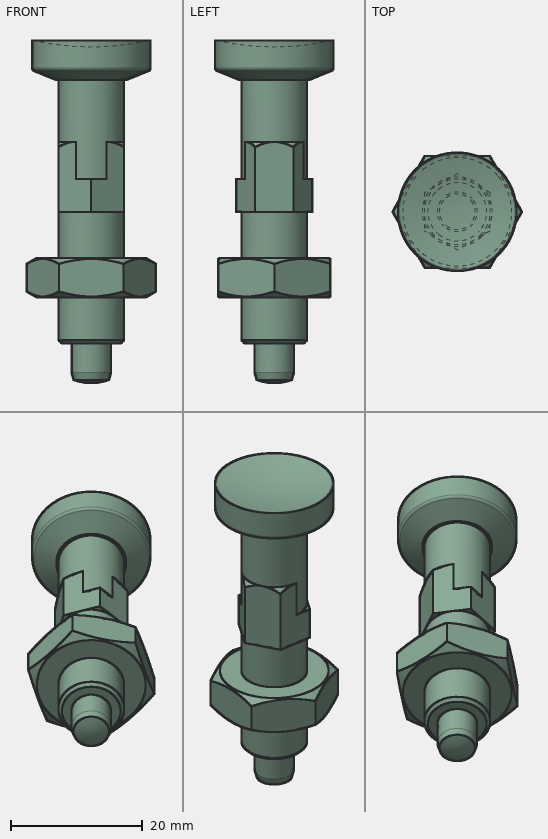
import math

import cadquery as cq


total_height = 52.0
knob_height = 6.0
knob_bottom = total_height - knob_height
pin_length = 6.0
nut_bottom = 13.0
nut_height = 6.0
lock_bottom = 26.0
slot_floor = 31.0
lock_top = 36.6

body_radius = 5.0
body_chamfer = 0.55

pin_radius = 3.0
pin_tip_radius = 2.7
pin_taper_height = 1.1
pin_dome_height = 0.5
pin_taper_start = pin_dome_height + pin_taper_height

knob_radius = 9.0
knob_rim_height = 4.5
knob_cone_radius = 5.3
knob_edge_fillet = 0.5
rim_width = 0.25
dish_depth = 1.0

nut_across_flats = 17.0
lock_across_flats = 10.0
nut_chamfer_angle = 30.0
nut_face_inset = 0.25
nut_face_radius = nut_across_flats / 2 - nut_face_inset
lock_chamfer_angle = 45.0
lock_face_radius = lock_across_flats / 2
slot_width = 4.6


def corner_radius(across_flats):
    """Distance from the axis to the corners of a hexagon."""
    return across_flats / math.sqrt(3)


def hexagon(across_flats, bottom, height, corner_angle):
    """Hexagonal prism with one corner at corner_angle degrees from +X."""
    prism = cq.Workplane("XY").polygon(6, 2 * corner_radius(across_flats)).extrude(height)
    return prism.rotate((0, 0, 0), (0, 0, 1), corner_angle).translate((0, 0, bottom))


def corner_limit(across_flats, face_radius, chamfer_angle, bottom, height, chamfer_bottom):
    """Turned envelope whose conical bevel trims the corners of a hexagon."""
    outer_radius = corner_radius(across_flats)
    drop = (outer_radius - face_radius) * math.tan(math.radians(chamfer_angle))
    top = bottom + height
    profile = cq.Workplane("XZ").moveTo(0, bottom)
    if chamfer_bottom:
        profile = profile.lineTo(face_radius, bottom).lineTo(outer_radius, bottom + drop)
    else:
        profile = profile.lineTo(outer_radius, bottom)
    profile = profile.lineTo(outer_radius, top - drop).lineTo(face_radius, top).lineTo(0, top)
    return profile.close().revolve(360, (0, 0, 0), (0, 1, 0))


def make_spindle():
    """Turned pin with a domed end, and the cylindrical body running up to the knob."""
    dome_radius = (pin_tip_radius**2 + pin_dome_height**2) / (2 * pin_dome_height)
    dome_mid_x = pin_tip_radius / 2
    dome_mid_z = dome_radius - math.sqrt(dome_radius**2 - dome_mid_x**2)
    return (
        cq.Workplane("XZ")
        .moveTo(0, 0)
        .threePointArc((dome_mid_x, dome_mid_z), (pin_tip_radius, pin_dome_height))
        .lineTo(pin_radius, pin_taper_start)
        .lineTo(pin_radius, pin_length)
        .lineTo(body_radius - body_chamfer, pin_length)
        .lineTo(body_radius, pin_length + body_chamfer)
        .lineTo(body_radius, knob_bottom)
        .lineTo(0, knob_bottom)
        .close()
        .revolve(360, (0, 0, 0), (0, 1, 0))
    )


def make_knob():
    """Round knob with a conical underside and a shallow dished top."""
    rim_bottom = total_height - knob_rim_height
    dish_radius = knob_radius - rim_width
    sphere_radius = (dish_radius**2 + dish_depth**2) / (2 * dish_depth)
    knob = (
        cq.Workplane("XZ")
        .moveTo(0, knob_bottom)
        .lineTo(knob_cone_radius, knob_bottom)
        .lineTo(knob_radius, rim_bottom)
        .lineTo(knob_radius, total_height)
        .lineTo(0, total_height)
        .close()
        .revolve(360, (0, 0, 0), (0, 1, 0))
    )
    lower_rim_edge = knob.edges("%CIRCLE exc (>Z or <Z)")
    knob = lower_rim_edge.fillet(knob_edge_fillet)
    dish = cq.Workplane("XY").sphere(sphere_radius)
    return knob.cut(dish.translate((0, 0, total_height - dish_depth + sphere_radius)))


def make_nut():
    """Lock nut with both ends bevelled and two corners on the X axis."""
    nut = hexagon(nut_across_flats, nut_bottom, nut_height, 0)
    limit = corner_limit(
        nut_across_flats, nut_face_radius, nut_chamfer_angle, nut_bottom, nut_height, True
    )
    return nut.intersect(limit)


def make_lock():
    """Hexagonal locking section, slotted across its two Y corners above the slot floor."""
    height = lock_top - lock_bottom
    lock = hexagon(lock_across_flats, lock_bottom, height, 90)
    limit = corner_limit(
        lock_across_flats, lock_face_radius, lock_chamfer_angle, lock_bottom, height, False
    )
    lock = lock.intersect(limit)
    slot_height = lock_top - slot_floor
    slot = cq.Workplane("XY", origin=(0, 0, slot_floor)).rect(slot_width, 2 * lock_across_flats)
    return lock.cut(slot.extrude(slot_height))


result = make_spindle().union(make_lock()).union(make_nut()).union(make_knob())